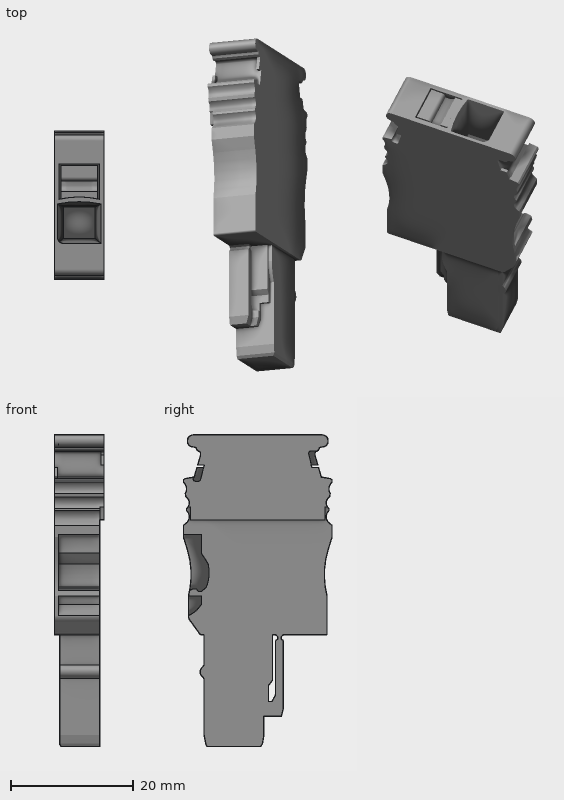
import cadquery as cq

HOUSING_HEIGHT = 32.7
HALF_WIDTH = 12.15
LOWER_THICKNESS = 7.4
UPPER_THICKNESS = 8.1
FLANK_BOTTOM = 18.8
FLANK_SHOULDER = 20.9
FLANK_HALF_WIDTH = 11.0
LOWER_HALF_WIDTH = 11.35
GRIP_BOTTOM = 6.3
HEEL_FILLET = 0.3

CLIP_TAB = 0.5
CLIP_GAP_Z = 27.55
CLIP_GAP = 0.35
CLIP_TOP = (8.2, 30.05)
CLIP_BOTTOM = (9.4, 25.1)
CLIP_TOP_WIDTH = 1.35
CLIP_BOTTOM_WIDTH = 1.25
CLIP_ROUNDING = 0.4

WINDOW_WALL = 0.65
WINDOW_DEPTH_Y = -9.2
UPPER_WINDOW_TOP = 16.4
UPPER_WINDOW_BOTTOM = 7.1
LOWER_WINDOW_TOP = 6.4
LOWER_WINDOW_BOTTOM = 3.15
OUTSIDE_Y = -(HALF_WIDTH + 1.0)

FUNNEL_X = (0.46, 7.6)
FUNNEL_Y = (-6.25, 0.2)
FUNNEL_FLOOR_X = (1.47, 6.62)
FUNNEL_FLOOR_Y = (-5.41, -0.31)
FUNNEL_DEPTH = 8.0
FUNNEL_CORNER = 1.1

BUTTON_X = (1.03, 7.07)
BUTTON_Y_MAX = 6.45
BUTTON_CLEARANCE = 0.25
BUTTON_DEPTH = 5.0
OPENING_CORNER_Y = 0.97
ARCH_RISE = 0.38
GROOVE_DEPTH = 0.8
GROOVE_EDGE_RADIUS = 0.6
GROOVE_WALL_Y = 3.96
GROOVE_RAMP_Y = 3.2
GROOVE_END_Y = 2.23

PLUG_X = 0.8
PLUG_STEP = 0.1
PLUG_STEP_Y = -8.05
PLUG_FRONT_Y = -8.78
PLUG_REAR_Y = 1.02
PLUG_BOTTOM = -18.25
PLUG_TAPER_TOP = -16.4
PLUG_FOOT_TOP = -17.8
PLUG_BEVEL = 0.3
SHOULDER_Y = 1.94
RIB_X = 1.4
RIB_Y = 2.43
RIB_LOWER_Y = 1.78
RIB_BOTTOM = -9.5
ARM_X = 4.0
ARM_Y = (2.88, 4.2)
ARM_TOP = -0.95
ARM_BEVEL_TOP = -12.0
ARM_BOTTOM = -13.3
ARM_BEVEL = 0.5
ARM_TIP_Y = 3.87
ARM_ROOT_Y = 2.33
FOOT_X = 3.0
FOOT_TIP_Y = 1.95
SLIT_BEND = -9.77
SLIT_BOTTOM = -10.85
NECK_Y = (3.25, 3.85)
NECK_FLARE = 0.3


def extrude_x(profile, x_start, x_end):
    """Extrude a closed YZ profile from x_start to x_end."""
    return profile.extrude(x_end - x_start).translate((x_start, 0, 0))


def block(x_range, y_range, z_range):
    """Axis-aligned block between the given limits."""
    sizes = [high - low for low, high in (x_range, y_range, z_range)]
    return (
        cq.Workplane("XY")
        .box(*sizes, centered=False)
        .translate((x_range[0], y_range[0], z_range[0]))
    )


def housing_half():
    """+Y half of the housing outline, with the head, clip slope, grip ribs and finger grip."""
    return (
        cq.Workplane("YZ")
        .lineTo(0, HOUSING_HEIGHT)
        .lineTo(10.5, HOUSING_HEIGHT)
        .threePointArc((11.21, 32.4), (11.5, 31.7))
        .threePointArc((11.25, 31.0), (10.6, 30.7))
        .lineTo(10.1, 30.6)
        .lineTo(9.95, 30.2)
        .lineTo(9.4, 29.85)
        .lineTo(9.35, 29.4)
        .lineTo(10.4, 25.8)
        .lineTo(11.9, 25.55)
        .lineTo(HALF_WIDTH, 25.3)
        .lineTo(HALF_WIDTH, 24.95)
        .threePointArc((11.65, 23.9), (11.85, 23.1))
        .lineTo(11.75, 22.55)
        .threePointArc((11.2, 21.6), (11.65, 20.65))
        .lineTo(11.65, 20.3)
        .threePointArc((11.2, 19.2), (11.8, 18.2))
        .lineTo(HALF_WIDTH, 17.9)
        .lineTo(HALF_WIDTH, 15.95)
        .lineTo(11.5, 13.9)
        .threePointArc((10.9, 9.9), (LOWER_HALF_WIDTH, GRIP_BOTTOM))
        .lineTo(LOWER_HALF_WIDTH, 0)
        .close()
    )


def housing_blank(thickness):
    """Full outline, symmetric about Y = 0, extruded from the -X face."""
    half = housing_half().extrude(thickness)
    return half.union(half.mirror("XZ"))


def heel_cut():
    """Material removed at the bottom corner on the -Y side."""
    profile = (
        cq.Workplane("YZ")
        .moveTo(-LOWER_HALF_WIDTH, 3.0)
        .threePointArc((-11.2, 2.55), (-10.95, 2.2))
        .lineTo(-9.65, 0.4)
        .threePointArc((-9.45, 0.15), (-9.15, 0))
        .lineTo(-9.15, -1.0)
        .lineTo(OUTSIDE_Y, -1.0)
        .lineTo(OUTSIDE_Y, 3.0)
        .close()
    )
    return extrude_x(profile, 0, UPPER_THICKNESS)


def flank():
    """Extra +X layer of the upper housing, narrower below its shoulder."""
    layer_x = (LOWER_THICKNESS, UPPER_THICKNESS)
    upper = block(layer_x, (-HALF_WIDTH, HALF_WIDTH), (FLANK_SHOULDER, HOUSING_HEIGHT))
    lower = block(layer_x, (-FLANK_HALF_WIDTH, FLANK_HALF_WIDTH), (FLANK_BOTTOM, FLANK_SHOULDER))
    return housing_blank(UPPER_THICKNESS).intersect(upper.union(lower))


def clip_recess(side, low_tab_at_minus_x):
    """Slanted recess along X that leaves a thin tab at each end, one high and one low."""
    profile = (
        cq.Workplane("YZ")
        .moveTo(side * CLIP_TOP[0], CLIP_TOP[1])
        .lineTo(side * CLIP_BOTTOM[0], CLIP_BOTTOM[1])
        .lineTo(side * (CLIP_BOTTOM[0] + CLIP_BOTTOM_WIDTH), CLIP_BOTTOM[1])
        .lineTo(side * (CLIP_TOP[0] + CLIP_TOP_WIDTH), CLIP_TOP[1])
        .close()
    )
    slot = extrude_x(profile, 0, UPPER_THICKNESS).edges("|X").fillet(CLIP_ROUNDING)
    minus_x_tab = (0, CLIP_TAB)
    plus_x_tab = (UPPER_THICKNESS - CLIP_TAB, UPPER_THICKNESS)
    low_tab, high_tab = (minus_x_tab, plus_x_tab) if low_tab_at_minus_x else (plus_x_tab, minus_x_tab)
    y_range = (-HALF_WIDTH, HALF_WIDTH)
    low_z = (0, CLIP_GAP_Z - CLIP_GAP / 2)
    high_z = (CLIP_GAP_Z + CLIP_GAP / 2, HOUSING_HEIGHT)
    return slot.cut(block(low_tab, y_range, low_z)).cut(block(high_tab, y_range, high_z))


def upper_window():
    """Large pocket in the -Y edge, open towards +X, with a hollow back wall and a raised sill."""
    profile = (
        cq.Workplane("YZ")
        .moveTo(OUTSIDE_Y, UPPER_WINDOW_TOP)
        .lineTo(WINDOW_DEPTH_Y, UPPER_WINDOW_TOP)
        .lineTo(WINDOW_DEPTH_Y, 13.35)
        .lineTo(-8.1, 11.6)
        .threePointArc((-7.95, 9.9), (-8.4, 7.8))
        .lineTo(WINDOW_DEPTH_Y, UPPER_WINDOW_BOTTOM)
        .lineTo(-9.7, UPPER_WINDOW_BOTTOM)
        .lineTo(-10.0, 7.5)
        .threePointArc((-10.75, 7.45), (-LOWER_HALF_WIDTH, UPPER_WINDOW_BOTTOM))
        .lineTo(OUTSIDE_Y, UPPER_WINDOW_BOTTOM)
        .close()
    )
    return extrude_x(profile, WINDOW_WALL, UPPER_THICKNESS)


def lower_window():
    """Small pocket below the upper one, with a curved floor."""
    profile = (
        cq.Workplane("YZ")
        .moveTo(OUTSIDE_Y, LOWER_WINDOW_TOP)
        .lineTo(WINDOW_DEPTH_Y, LOWER_WINDOW_TOP)
        .lineTo(WINDOW_DEPTH_Y, 5.0)
        .threePointArc((-10.1, 3.95), (-LOWER_HALF_WIDTH, LOWER_WINDOW_BOTTOM))
        .lineTo(OUTSIDE_Y, LOWER_WINDOW_BOTTOM)
        .close()
    )
    return extrude_x(profile, WINDOW_WALL, UPPER_THICKNESS)


def funnel():
    """Tapered wire entry: arched on the +Y side, with one rounded corner."""
    x_min, x_max = FUNNEL_X
    y_min, y_max = FUNNEL_Y
    floor_x_min, floor_x_max = FUNNEL_FLOOR_X
    floor_y_min, floor_y_max = FUNNEL_FLOOR_Y
    arch_mid = ((x_min + x_max) / 2, y_max + ARCH_RISE)
    taper = (
        cq.Workplane("XY")
        .workplane(offset=HOUSING_HEIGHT - FUNNEL_DEPTH)
        .moveTo(floor_x_min, floor_y_min)
        .lineTo(floor_x_min, floor_y_max)
        .lineTo(floor_x_max, floor_y_max)
        .lineTo(floor_x_max, floor_y_min)
        .close()
        .workplane(offset=FUNNEL_DEPTH)
        .moveTo(x_min, y_min)
        .lineTo(x_min, y_max)
        .threePointArc(arch_mid, (x_max, y_max))
        .lineTo(x_max, y_min)
        .close()
        .loft(ruled=True)
    )
    rounded_limit = block(
        FUNNEL_X, (y_min, y_max + 2 * ARCH_RISE), (0, HOUSING_HEIGHT)
    ).edges("|Z and <X and <Y").fillet(FUNNEL_CORNER)
    return taper.intersect(rounded_limit)


def button_opening():
    """Opening for the button, with an arched -Y side that the button rests against."""
    x_min = BUTTON_X[0] - BUTTON_CLEARANCE
    x_max = BUTTON_X[1] + BUTTON_CLEARANCE
    y_max = BUTTON_Y_MAX + BUTTON_CLEARANCE
    arch_mid = ((x_min + x_max) / 2, OPENING_CORNER_Y + ARCH_RISE)
    return (
        cq.Workplane("XY")
        .workplane(offset=HOUSING_HEIGHT - BUTTON_DEPTH)
        .moveTo(x_min, OPENING_CORNER_Y)
        .threePointArc(arch_mid, (x_max, OPENING_CORNER_Y))
        .lineTo(x_max, y_max)
        .lineTo(x_min, y_max)
        .close()
        .extrude(BUTTON_DEPTH)
    )


def button_blank():
    """Button block that fills the opening except for the clearance on three sides."""
    limits = block(BUTTON_X, (0, BUTTON_Y_MAX), (0, HOUSING_HEIGHT))
    return button_opening().intersect(limits)


def button_groove():
    """Cross groove in the button: rounded edge, steep wall, flat floor and a ramp."""
    floor_z = HOUSING_HEIGHT - GROOVE_DEPTH
    round_mid = GROOVE_EDGE_RADIUS * (1 - 0.5 ** 0.5)
    profile = (
        cq.Workplane("YZ")
        .moveTo(GROOVE_WALL_Y + GROOVE_EDGE_RADIUS, HOUSING_HEIGHT)
        .threePointArc(
            (GROOVE_WALL_Y + round_mid, HOUSING_HEIGHT - round_mid),
            (GROOVE_WALL_Y, HOUSING_HEIGHT - GROOVE_EDGE_RADIUS),
        )
        .lineTo(GROOVE_WALL_Y, floor_z)
        .lineTo(GROOVE_RAMP_Y, floor_z)
        .tangentArcPoint((GROOVE_END_Y, HOUSING_HEIGHT), relative=False)
        .close()
    )
    return extrude_x(profile, 0, UPPER_THICKNESS)


def plug_block():
    """Main plug block with its shoulder, snap bead, tapered end and stepped -Y strip."""
    profile = (
        cq.Workplane("YZ")
        .moveTo(SHOULDER_Y, 0)
        .lineTo(SHOULDER_Y, -2.65)
        .threePointArc((1.65, -4.4), (PLUG_REAR_Y, -6.0))
        .lineTo(PLUG_REAR_Y, PLUG_TAPER_TOP)
        .lineTo(0.78, PLUG_FOOT_TOP)
        .lineTo(0.45, PLUG_BOTTOM)
        .lineTo(-8.3, PLUG_BOTTOM)
        .lineTo(-8.5, PLUG_FOOT_TOP)
        .lineTo(PLUG_FRONT_Y, PLUG_TAPER_TOP)
        .lineTo(PLUG_FRONT_Y, -7.15)
        .lineTo(-9.0, -6.85)
        .threePointArc((-9.42, -6.02), (-9.0, -5.2))
        .lineTo(PLUG_FRONT_Y, -4.9)
        .lineTo(PLUG_FRONT_Y, 0)
        .close()
    )
    strip = (
        cq.Workplane("YZ")
        .moveTo(PLUG_STEP_Y, 0)
        .lineTo(PLUG_STEP_Y, PLUG_TAPER_TOP)
        .lineTo(-7.4, PLUG_BOTTOM)
        .lineTo(OUTSIDE_Y, PLUG_BOTTOM)
        .lineTo(OUTSIDE_Y, 0)
        .close()
    )
    bevel = (
        cq.Workplane("XZ")
        .moveTo(PLUG_X, PLUG_FOOT_TOP)
        .lineTo(PLUG_X + PLUG_BEVEL, PLUG_BOTTOM)
        .lineTo(PLUG_X, PLUG_BOTTOM)
        .close()
        .extrude(HALF_WIDTH, both=True)
    )
    strip_cut = extrude_x(strip, PLUG_X, PLUG_X + PLUG_STEP)
    return extrude_x(profile, PLUG_X, LOWER_THICKNESS).cut(strip_cut).cut(bevel)


def plug_rib():
    """Rib along the rear of the plug block, stepped in towards its lower end."""
    profile = (
        cq.Workplane("YZ")
        .moveTo(PLUG_REAR_Y, 0)
        .lineTo(RIB_Y, 0)
        .lineTo(RIB_Y, -7.4)
        .lineTo(RIB_LOWER_Y, -8.24)
        .lineTo(RIB_LOWER_Y, RIB_BOTTOM)
        .lineTo(PLUG_REAR_Y, RIB_BOTTOM)
        .close()
    )
    return extrude_x(profile, RIB_X, LOWER_THICKNESS)


def tip_bevel(x_face):
    """Wedge that bevels the lower end of a latch face."""
    return (
        cq.Workplane("XZ")
        .moveTo(x_face, ARM_BEVEL_TOP)
        .lineTo(x_face + ARM_BEVEL, ARM_BOTTOM)
        .lineTo(x_face, ARM_BOTTOM)
        .close()
        .extrude(-HALF_WIDTH)
    )


def latch_foot():
    """Foot below the rib that carries the latch arm."""
    profile = (
        cq.Workplane("YZ")
        .moveTo(PLUG_REAR_Y, RIB_BOTTOM)
        .lineTo(RIB_LOWER_Y, RIB_BOTTOM)
        .lineTo(RIB_LOWER_Y, SLIT_BOTTOM)
        .lineTo(ARM_ROOT_Y, SLIT_BOTTOM)
        .lineTo(ARM_ROOT_Y, ARM_BEVEL_TOP)
        .lineTo(FOOT_TIP_Y, ARM_BOTTOM)
        .lineTo(PLUG_REAR_Y, ARM_BOTTOM)
        .close()
    )
    return extrude_x(profile, FOOT_X, LOWER_THICKNESS).cut(tip_bevel(FOOT_X))


def latch_arm():
    """Latch arm rising from the foot, with a thin neck that joins it to the housing."""
    slit_y, outer_y = ARM_Y
    neck_in, neck_out = NECK_Y
    profile = (
        cq.Workplane("YZ")
        .moveTo(neck_in - NECK_FLARE, 0)
        .lineTo(neck_in, -NECK_FLARE)
        .lineTo(neck_in, ARM_TOP + NECK_FLARE)
        .lineTo(slit_y, ARM_TOP)
        .lineTo(slit_y, SLIT_BEND)
        .lineTo(ARM_ROOT_Y, SLIT_BOTTOM)
        .lineTo(ARM_ROOT_Y, ARM_BEVEL_TOP)
        .lineTo(FOOT_TIP_Y, ARM_BOTTOM)
        .lineTo(ARM_TIP_Y, ARM_BOTTOM)
        .lineTo(outer_y, ARM_BEVEL_TOP)
        .lineTo(outer_y, ARM_TOP)
        .lineTo(neck_out, ARM_TOP + NECK_FLARE)
        .lineTo(neck_out, -NECK_FLARE)
        .lineTo(neck_out + NECK_FLARE, 0)
        .close()
    )
    return extrude_x(profile, ARM_X, LOWER_THICKNESS).cut(tip_bevel(ARM_X))


housing = (
    housing_blank(LOWER_THICKNESS)
    .faces("<Z")
    .edges(">Y")
    .fillet(HEEL_FILLET)
    .union(flank())
    .cut(heel_cut())
    .cut(clip_recess(-1, True))
    .cut(clip_recess(1, False))
    .cut(upper_window())
    .cut(lower_window())
    .cut(funnel())
    .cut(button_opening())
    .union(plug_block())
    .union(plug_rib())
    .union(latch_foot())
    .union(latch_arm())
)

button = button_blank().cut(button_groove())

result = cq.Compound.makeCompound([housing.val(), button.val()])